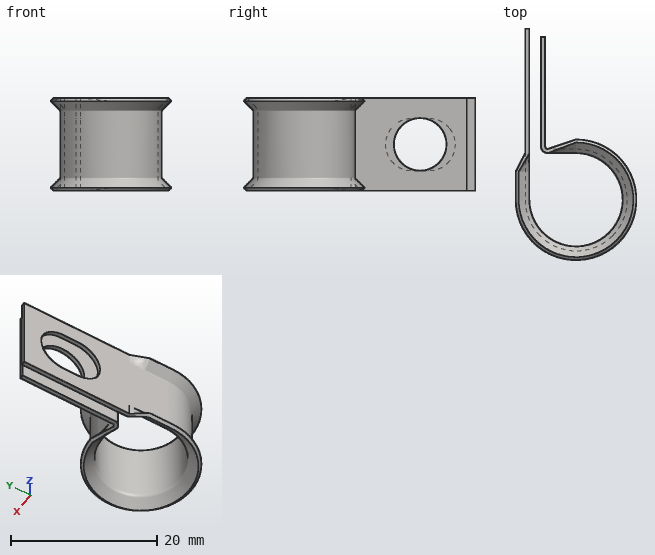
import cadquery as cq
import math

thickness = 0.6
width = 12.7
half_width = width / 2
bore_radius = 6.35
band_radius = bore_radius + thickness
flare_radius = 8.25
overall_length = 31.65

flare_bend_radius = 0.2
flare_angle = math.radians(45)
taper_length = 2.53
rim_straight = 3.83
wrap_angle = 270

tab_end = overall_length - flare_radius
short_tab_end = tab_end - 1.15
short_tab_outer_x = -4.8
short_tab_inner_x = short_tab_outer_x + thickness
corner_radius = 0.35
corner_outer_radius = corner_radius + thickness
corner_x = short_tab_inner_x + corner_radius
corner_y = band_radius + corner_radius
taper_end = rim_straight + taper_length

hole_y = 15.85
hole_diameter = 7.15
slot_length = 9.53

slope_run = thickness * math.sin(flare_angle)
slope_rise = thickness * math.cos(flare_angle)
bend_center_radius = band_radius + flare_bend_radius
tip_inner_radius = flare_radius - slope_run
outer_bend_radius = flare_bend_radius + thickness
inner_bend_end_radius = bend_center_radius - outer_bend_radius * math.cos(flare_angle)
flare_base = (
    half_width
    - (tip_inner_radius - inner_bend_end_radius) / math.tan(flare_angle)
    - outer_bend_radius * math.sin(flare_angle)
)


def bend_point(radius, angle):
    return (bend_center_radius - radius * math.cos(angle), flare_base + radius * math.sin(angle))


def flare_section(place):
    """Closed rim section; place maps (radius, height) to a point in space."""
    half_angle = flare_angle / 2
    inner_start, inner_mid, inner_end = (
        place(*bend_point(outer_bend_radius, a)) for a in (0, half_angle, flare_angle)
    )
    outer_start, outer_mid, outer_end = (
        place(*bend_point(flare_bend_radius, a)) for a in (0, half_angle, flare_angle)
    )
    tip_inner = place(tip_inner_radius, half_width)
    tip_outer = place(flare_radius, half_width - slope_rise)
    return cq.Wire.assembleEdges([
        cq.Edge.makeThreePointArc(inner_start, inner_mid, inner_end),
        cq.Edge.makeLine(inner_end, tip_inner),
        cq.Edge.makeLine(tip_inner, tip_outer),
        cq.Edge.makeLine(tip_outer, outer_end),
        cq.Edge.makeThreePointArc(outer_end, outer_mid, outer_start),
        cq.Edge.makeLine(outer_start, inner_start),
    ])


def flat_section(place):
    """Unflared strip edge, split to match the flared section side for side."""
    inner_split = bend_point(outer_bend_radius, flare_angle)[1]
    outer_split = bend_point(flare_bend_radius, flare_angle)[1]
    corners = [
        (bore_radius, flare_base),
        (bore_radius, inner_split),
        (bore_radius, half_width),
        (band_radius, half_width),
        (band_radius, outer_split),
        (band_radius, flare_base),
    ]
    return cq.Wire.makePolygon([place(*corner) for corner in corners], close=True)


def slotted_side(y):
    return lambda radius, height: cq.Vector(-radius, y, height)


def round_hole_side(x):
    return lambda radius, height: cq.Vector(x, radius, height)


def upper_rim():
    start = cq.Face.makeFromWires(flare_section(slotted_side(0)))
    straight = cq.Solid.extrudeLinear(start, cq.Vector(0, rim_straight, 0))
    wrapped = cq.Solid.revolve(start, wrap_angle, cq.Vector(0, 0, 0), cq.Vector(0, 0, 1))
    slotted_taper = cq.Solid.makeLoft(
        [flare_section(slotted_side(rim_straight)), flat_section(slotted_side(taper_end))], True
    )
    round_hole_taper = cq.Solid.makeLoft(
        [flare_section(round_hole_side(0)), flat_section(round_hole_side(corner_x))], True
    )
    return cq.Workplane(straight).union(cq.Workplane(wrapped)).union(
        cq.Workplane(slotted_taper)).union(cq.Workplane(round_hole_taper))


def band():
    """Plain strip between the two rims, from one taper end to the other."""
    diagonal = math.sqrt(0.5)
    return (
        cq.Workplane("XY", origin=(0, 0, -flare_base))
        .moveTo(-bore_radius, taper_end)
        .lineTo(-bore_radius, 0)
        .threePointArc((bore_radius * diagonal, -bore_radius * diagonal), (0, bore_radius))
        .lineTo(corner_x, bore_radius)
        .lineTo(corner_x, band_radius)
        .lineTo(0, band_radius)
        .threePointArc((band_radius * diagonal, -band_radius * diagonal), (-band_radius, 0))
        .lineTo(-band_radius, taper_end)
        .close()
        .extrude(2 * flare_base)
    )


def hole_plane(x):
    return cq.Workplane("YZ", origin=(x, hole_y, 0))


def slotted_tab():
    tab = (
        cq.Workplane("XY", origin=(0, 0, -half_width))
        .moveTo(-band_radius, taper_end)
        .lineTo(-bore_radius, taper_end)
        .lineTo(-bore_radius, tab_end)
        .lineTo(-band_radius, tab_end)
        .close()
        .extrude(width)
    )
    slot = hole_plane(-band_radius).slot2D(slot_length, hole_diameter).extrude(thickness)
    return tab.cut(slot)


def round_hole_tab():
    tab = (
        cq.Workplane("XY", origin=(0, 0, -half_width))
        .moveTo(corner_x, bore_radius)
        .radiusArc((short_tab_outer_x, corner_y), corner_outer_radius)
        .lineTo(short_tab_outer_x, short_tab_end)
        .lineTo(short_tab_inner_x, short_tab_end)
        .lineTo(short_tab_inner_x, corner_y)
        .radiusArc((corner_x, band_radius), -corner_radius)
        .close()
        .extrude(width)
    )
    hole = hole_plane(short_tab_outer_x).circle(hole_diameter / 2).extrude(thickness)
    return tab.cut(hole)


rim = upper_rim()
result = (
    band()
    .union(rim)
    .union(rim.mirror("XY"))
    .union(slotted_tab())
    .union(round_hole_tab())
    .clean()
)